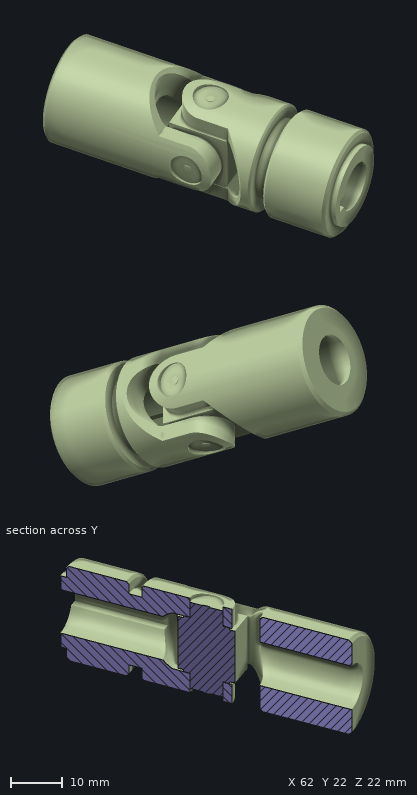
import cadquery as cq

length = 62.0
body_diameter = 22.0
body_radius = body_diameter / 2
pivot_x = length / 2

ear_width = 11.05
ear_radius = ear_width / 2
ear_inner = 6.42
shoulder_reach = 6.45
slot_reach = 11.35
slot_straight = 7.25
bore_diameter = 10.0
end_chamfer = 0.7

neck_diameter = 16.6
groove_start = 44.75
ring_start = 47.5
ring_end = 60.8
flange_chamfer = 0.4
ring_chamfer = 0.55
keyway_width = 3.0
keyway_reach = 6.4

block_length = 12.2
block_width = 11.4
block_height = 12.15
collar_diameter = 10.0
pin_diameter = 7.0
pin_reach = 10.05
nub_diameter = 1.7
nub_step = 0.1
dome_height = 0.05


def cylinder_x(diameter, start, end):
    """Cylinder on the joint axis between two X positions."""
    return cq.Workplane("YZ").workplane(offset=start).circle(diameter / 2).extrude(end - start)


def cross_cylinder(diameter, reach):
    """Cylinder along Z through the pivot, reaching equally far both ways."""
    return cq.Workplane("XY").center(pivot_x, 0).circle(diameter / 2).extrude(reach, both=True)


def ear_outline():
    """Shank with 45 degree shoulders and round ears, for ears spaced along Y."""
    root_x = pivot_x - shoulder_reach
    shoulder_x = root_x - (body_radius - ear_radius)
    return (
        cq.Workplane("XZ")
        .moveTo(0, -body_radius)
        .lineTo(shoulder_x, -body_radius)
        .lineTo(root_x, -ear_radius)
        .lineTo(pivot_x, -ear_radius)
        .threePointArc((pivot_x + ear_radius, 0), (pivot_x, ear_radius))
        .lineTo(root_x, ear_radius)
        .lineTo(shoulder_x, body_radius)
        .lineTo(0, body_radius)
        .close()
        .extrude(body_radius, both=True)
    )


def ear_gap():
    """Gap between the ears, with a round bottom, cut through along Z."""
    straight_x = pivot_x - slot_straight
    open_x = pivot_x + body_radius
    return (
        cq.Workplane("XY")
        .moveTo(open_x, ear_inner)
        .lineTo(straight_x, ear_inner)
        .threePointArc((pivot_x - slot_reach, 0), (straight_x, -ear_inner))
        .lineTo(open_x, -ear_inner)
        .close()
        .extrude(body_radius, both=True)
    )


def make_fork(blank):
    """Shape a round blank, whose end is at X = 0, into a bored fork with ears along Y."""
    pin_holes = cross_cylinder(pin_diameter, body_radius).rotate((0, 0, 0), (1, 0, 0), 90)
    bore = cylinder_x(bore_diameter, 0, pivot_x)
    return blank.intersect(ear_outline()).cut(ear_gap()).cut(pin_holes).cut(bore)


def make_plain_yoke():
    blank = cylinder_x(body_diameter, 0, pivot_x + body_radius).faces("<X").chamfer(end_chamfer)
    return make_fork(blank)


def keyway():
    """Keyway on the -Y side of the second yoke's bore, running out through its end."""
    return cq.Workplane("XY").box(
        length - pivot_x, keyway_reach, keyway_width, centered=(False, False, True)
    ).translate((pivot_x, -keyway_reach, 0))


def make_grooved_yoke():
    fork_blank = cylinder_x(body_diameter, length - groove_start, pivot_x + body_radius)
    fork_blank = fork_blank.faces("<X").chamfer(flange_chamfer)
    ring = cylinder_x(body_diameter, length - ring_end, length - ring_start)
    ring = ring.faces("<X or >X").chamfer(ring_chamfer)
    neck = cylinder_x(neck_diameter, 0, length - groove_start)
    fork = make_fork(fork_blank.union(neck).union(ring))
    fork = fork.rotate((pivot_x, 0, 0), (pivot_x, 0, 1), 180).rotate((0, 0, 0), (1, 0, 0), 90)
    return fork.cut(keyway())


def half_axis():
    """Collar, pin and domed nub turned about the Z axis, on the +Z side of the pivot."""
    collar_radius = collar_diameter / 2
    pin_radius = pin_diameter / 2
    nub_radius = nub_diameter / 2
    dome_base = pin_reach + nub_step
    dome_top = dome_base + dome_height
    dome_radius = (nub_radius**2 + dome_height**2) / (2 * dome_height)
    profile = (
        cq.Workplane("XZ")
        .lineTo(collar_radius, 0)
        .lineTo(collar_radius, ear_inner)
        .lineTo(pin_radius, ear_inner)
        .lineTo(pin_radius, pin_reach)
        .lineTo(nub_radius, pin_reach)
        .lineTo(nub_radius, dome_base)
        .radiusArc((0, dome_top), -dome_radius)
        .close()
    )
    return profile.revolve(360, (0, 0), (0, 1)).translate((pivot_x, 0, 0))


def make_cross():
    cross = cq.Workplane("XY").box(block_length, block_width, block_height).translate((pivot_x, 0, 0))
    for angle in (0, 90, 180, 270):
        cross = cross.union(half_axis().rotate((0, 0, 0), (1, 0, 0), angle))
    return cross


plain_yoke = make_plain_yoke()
grooved_yoke = make_grooved_yoke()
cross = make_cross()

result = cq.Compound.makeCompound([plain_yoke.val(), grooved_yoke.val(), cross.val()])